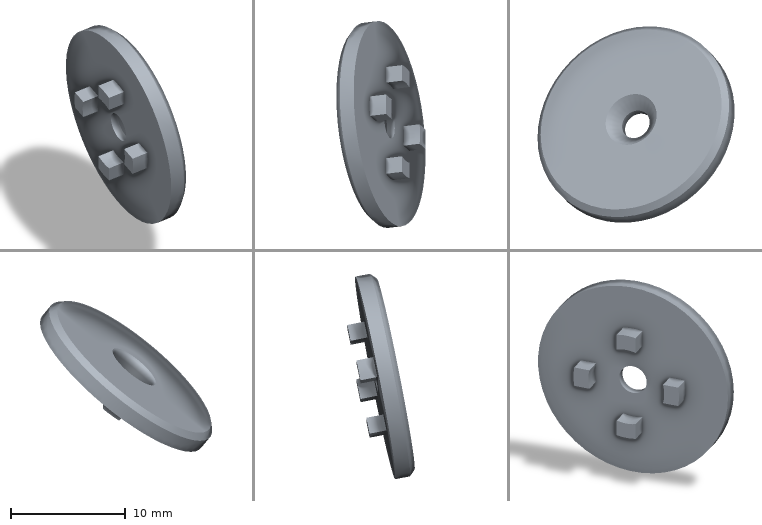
import cadquery as cq

disc_diameter = 18.0
disc_thickness = 1.8
rim_chamfer = 0.5
bore_diameter = 2.6
countersink_depth = 1.1

peg_count = 4
peg_outer_radius = 5.0
peg_inner_radius = 3.6
peg_width = 1.8
peg_height = 1.5


def make_disc():
    """Disc spanning Y = 0 to its thickness, chamfered around the +Y rim."""
    disc = cq.Workplane("XZ").circle(disc_diameter / 2).extrude(-disc_thickness)
    return disc.faces(">Y").edges().chamfer(rim_chamfer)


def make_peg(angle):
    """Straight-sided peg with arc ends, projecting to -Y at the given angle."""
    ring = (
        cq.Workplane("XZ")
        .circle(peg_outer_radius)
        .circle(peg_inner_radius)
        .extrude(peg_height)
    )
    radial_bar = (
        cq.Workplane("XZ")
        .rect(peg_outer_radius, peg_width, centered=(False, True))
        .extrude(peg_height)
    )
    peg = ring.intersect(radial_bar)
    return peg.rotate((0, 0, 0), (0, 1, 0), angle)


def cut_bore(disc):
    """Cut the central through hole and its 45 degree countersink on the +Y face."""
    bore = cq.Workplane("XZ").circle(bore_diameter / 2).extrude(-disc_thickness)
    bored_disc = disc.cut(bore)
    back_bore_edge = bored_disc.faces(">Y").edges(cq.selectors.RadiusNthSelector(0))
    return back_bore_edge.chamfer(countersink_depth)


result = cut_bore(make_disc())
for index in range(peg_count):
    result = result.union(make_peg(index * 360 / peg_count))